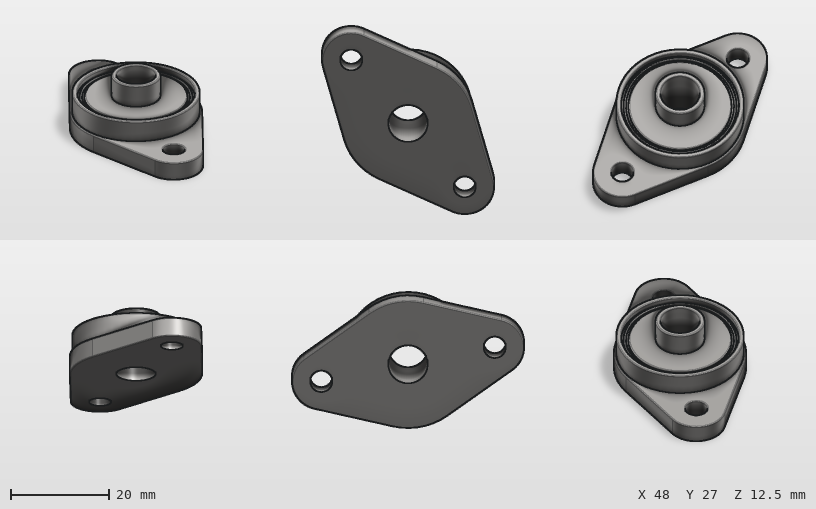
import cadquery as cq

plate_length = 48.0
plate_width = 27.0
plate_thickness = 4.0
plate_end_radius = 6.0
plate_edge_fillet = 0.2
bolt_spacing = 36.0
bolt_hole_diameter = 4.5
bolt_hole_fillet = 0.2

housing_radius = 13.0
housing_top = 8.5
rim_inner_radius = 12.0
rim_fillet = 0.2

face_height = 7.7
groove_depth = 0.5
ring_outer_radius = 11.5
ring_inner_radius = 11.0
ring_fillet = 0.2
disc_radius = 10.5
disc_fillet = 0.25

sleeve_radius = 5.0
sleeve_top = 12.5
bore_radius = 4.0
sleeve_outer_fillet = 0.25
bore_fillet = 0.15


def make_plate():
    """Rhombic flange: a wide middle arc joined to two end arcs by tangent sides."""
    middle_radius = plate_width / 2
    end_center = plate_length / 2 - plate_end_radius
    sine = (middle_radius - plate_end_radius) / end_center
    cosine = (1 - sine**2) ** 0.5
    middle_x = middle_radius * sine
    middle_y = middle_radius * cosine
    end_x = end_center + plate_end_radius * sine
    end_y = plate_end_radius * cosine
    outline = (
        cq.Workplane("XY")
        .moveTo(-middle_x, middle_y)
        .threePointArc((0, middle_radius), (middle_x, middle_y))
        .lineTo(end_x, end_y)
        .threePointArc((plate_length / 2, 0), (end_x, -end_y))
        .lineTo(middle_x, -middle_y)
        .threePointArc((0, -middle_radius), (-middle_x, -middle_y))
        .lineTo(-end_x, -end_y)
        .threePointArc((-plate_length / 2, 0), (-end_x, end_y))
        .close()
    )
    return outline.extrude(plate_thickness).faces("<Z or >Z").edges().fillet(plate_edge_fillet)


def disc(radius, height):
    """Plain disc standing on the base plane."""
    return cq.Workplane("XY").circle(radius).extrude(height)


def make_housing():
    """Rounded cup whose floor carries the raised ring, the disc and the sleeve."""
    groove_height = face_height - groove_depth
    cup = disc(housing_radius, housing_top)
    cup = cup.cut(disc(rim_inner_radius, housing_top).translate((0, 0, groove_height)))
    cup = cup.faces(">Z").edges().fillet(rim_fillet)
    ring = disc(ring_outer_radius, face_height).cut(disc(ring_inner_radius, face_height))
    ring = ring.faces(">Z").edges().fillet(ring_fillet)
    bearing_disc = disc(disc_radius, face_height).faces(">Z").edges().fillet(disc_fillet)
    sleeve = disc(sleeve_radius, sleeve_top).faces(">Z").edges().fillet(sleeve_outer_fillet)
    return cup.union(ring).union(bearing_disc).union(sleeve)


def make_hole(radius, top, rounding):
    """Cutter for a through hole that starts at the base and is rounded over at its top edge."""
    mouth_radius = radius + rounding
    profile = (
        cq.Workplane("XZ")
        .lineTo(radius, 0)
        .lineTo(radius, top - rounding)
        .tangentArcPoint((mouth_radius, top), relative=False)
        .lineTo(0, top)
    )
    return profile.close().revolve(360, (0, 0), (0, 1))


result = make_plate().union(make_housing())
result = result.cut(make_hole(bore_radius, sleeve_top, bore_fillet))
for side in (-1, 1):
    bolt_hole = make_hole(bolt_hole_diameter / 2, plate_thickness, bolt_hole_fillet)
    result = result.cut(bolt_hole.translate((side * bolt_spacing / 2, 0, 0)))